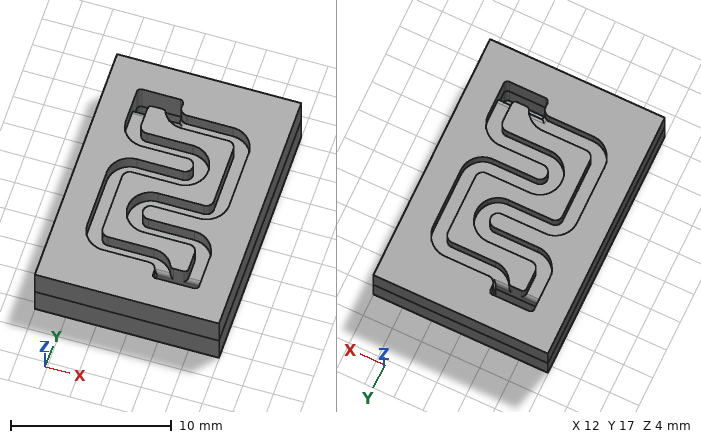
import cadquery as cq
import math

plate_width = 12.0
plate_length = 17.0
stack_height = 4.0
plate_thickness = stack_height / 2

rim_width = 2.0
row_count = 13
row = (plate_length - 2 * rim_width) / row_count
channel_depth = plate_thickness / 2
channel_floor = stack_height - channel_depth

inner_radius = row / 2
outer_radius = inner_radius + row

port_length = 3 * row
port_corner_radius = 0.25
port_lip_radius = 0.25
tip_radius = 0.25

outer_x = 4 * row
inner_x = outer_x - row
bend_x = outer_x - outer_radius
hairpin_x = -row / 2
port_end_y = plate_length / 2 - rim_width
port_edge_y = port_end_y - row
port_inner_x = port_length - outer_x
upper_bend_y = port_edge_y - outer_radius
hairpin_y = -2 * row
middle_bend_y = hairpin_y + inner_radius + outer_radius
lower_bend_y = hairpin_y - inner_radius - outer_radius


def half_turn(shape):
    """Turn a shape by 180 degrees about the Z axis."""
    return shape.rotate((0, 0, 0), (0, 0, 1), 180)


def both_ports(shape):
    """Join a shape at the upper-left port with its half-turn copy at the other port."""
    return shape.union(half_turn(shape))


def prism_from_half(half_outline, bottom, height):
    """Close a half outline with its half-turn copy and extrude it upward."""
    edges = half_outline.val().Edges()
    edges += [half_turn(edge) for edge in edges]
    outline = cq.Wire.assembleEdges(edges)
    solid = cq.Solid.extrudeLinear(outline, [], cq.Vector(0, 0, height))
    return cq.Workplane(solid.translate(cq.Vector(0, 0, bottom)))


def round_end_corners(solid, corner_y, radius):
    """Round the vertical edges that stand at y = corner_y and y = -corner_y."""
    reach = row / 4
    for y in (corner_y, -corner_y):
        near_corners = cq.selectors.BoxSelector(
            (-plate_width, y - reach, 0), (plate_width, y + reach, stack_height)
        )
        solid = solid.edges("|Z").edges(near_corners).fillet(radius)
    return solid


def pocket_half_outline():
    """Half of the outer wall around the channels and ports."""
    return (
        cq.Workplane()
        .moveTo(-outer_x, port_end_y)
        .lineTo(port_inner_x, port_end_y)
        .lineTo(port_inner_x, port_edge_y + inner_radius)
        .radiusArc((hairpin_x, port_edge_y), -inner_radius)
        .lineTo(bend_x, port_edge_y)
        .radiusArc((outer_x, upper_bend_y), outer_radius)
        .lineTo(outer_x, middle_bend_y)
        .radiusArc((bend_x, hairpin_y + inner_radius), outer_radius)
        .lineTo(hairpin_x, hairpin_y + inner_radius)
        .threePointArc((hairpin_x - inner_radius, hairpin_y), (hairpin_x, hairpin_y - inner_radius))
        .lineTo(bend_x, hairpin_y - inner_radius)
        .radiusArc((outer_x, lower_bend_y), outer_radius)
        .lineTo(outer_x, -port_end_y)
        .wire()
    )


def island_half_outline():
    """Half of the winding wall that parts the two channels and ends at the ports."""
    tip_x = hairpin_x - math.sqrt(outer_radius**2 - inner_radius**2)
    return (
        cq.Workplane()
        .moveTo(-inner_x, port_edge_y)
        .lineTo(tip_x, port_edge_y)
        .radiusArc((hairpin_x, port_edge_y - row), -outer_radius)
        .lineTo(bend_x, port_edge_y - row)
        .radiusArc((inner_x, upper_bend_y), inner_radius)
        .lineTo(inner_x, middle_bend_y)
        .radiusArc((bend_x, hairpin_y + outer_radius), inner_radius)
        .lineTo(hairpin_x, hairpin_y + outer_radius)
        .threePointArc((hairpin_x - outer_radius, hairpin_y), (hairpin_x, hairpin_y - outer_radius))
        .lineTo(bend_x, hairpin_y - outer_radius)
        .radiusArc((inner_x, lower_bend_y), inner_radius)
        .lineTo(inner_x, -port_edge_y)
        .wire()
    )


def make_channels(bottom, height):
    """Void between the outer wall and the island, as a prism of the given height."""
    pocket = prism_from_half(pocket_half_outline(), bottom, height)
    pocket = round_end_corners(pocket, port_end_y, port_corner_radius)
    island = prism_from_half(island_half_outline(), bottom, height)
    island = round_end_corners(island, port_edge_y, tip_radius)
    return pocket.cut(island)


def make_port_bores():
    """Upright slots that run from the channel floor through both plates."""
    bore = (
        cq.Workplane()
        .box(port_length, row, channel_floor, centered=False)
        .edges("|Z and >Y")
        .fillet(port_corner_radius)
        .translate((-outer_x, port_edge_y, 0))
    )
    return both_ports(bore)


def make_port_lips():
    """Rounding where the channel floor turns down into the ports, clear of the island."""
    lip_bottom = channel_floor - port_lip_radius
    lip_x = port_inner_x + port_lip_radius
    lip_y = port_edge_y - port_lip_radius
    block = (
        cq.Workplane()
        .box(port_length + port_lip_radius, row + port_lip_radius, port_lip_radius, centered=False)
        .translate((-outer_x, lip_y, lip_bottom))
    )
    long_edge = cq.Solid.makeCylinder(
        port_lip_radius, plate_width, cq.Vector(-plate_width / 2, lip_y, lip_bottom), cq.Vector(1, 0, 0)
    )
    short_edge = cq.Solid.makeCylinder(
        port_lip_radius, plate_length, cq.Vector(lip_x, -plate_length / 2, lip_bottom), cq.Vector(0, 1, 0)
    )
    lip = block.cut(cq.Workplane(long_edge)).cut(cq.Workplane(short_edge))
    return both_ports(lip).intersect(make_channels(lip_bottom, port_lip_radius))


def make_plate(bottom):
    """Plain rectangular plate."""
    plate = cq.Workplane().box(plate_width, plate_length, plate_thickness, centered=(True, True, False))
    return plate.translate((0, 0, bottom))


def make_base_plate():
    """Lower plate, pierced by the two ports."""
    return make_plate(0).cut(make_port_bores())


def make_channel_plate():
    """Upper plate, with the winding channels cut into its top and drained by the ports."""
    plate = make_plate(plate_thickness).cut(make_channels(channel_floor, channel_depth))
    return plate.cut(make_port_bores()).cut(make_port_lips())


base_plate = make_base_plate()
channel_plate = make_channel_plate()

result = cq.Compound.makeCompound([base_plate.solids().val(), channel_plate.solids().val()])